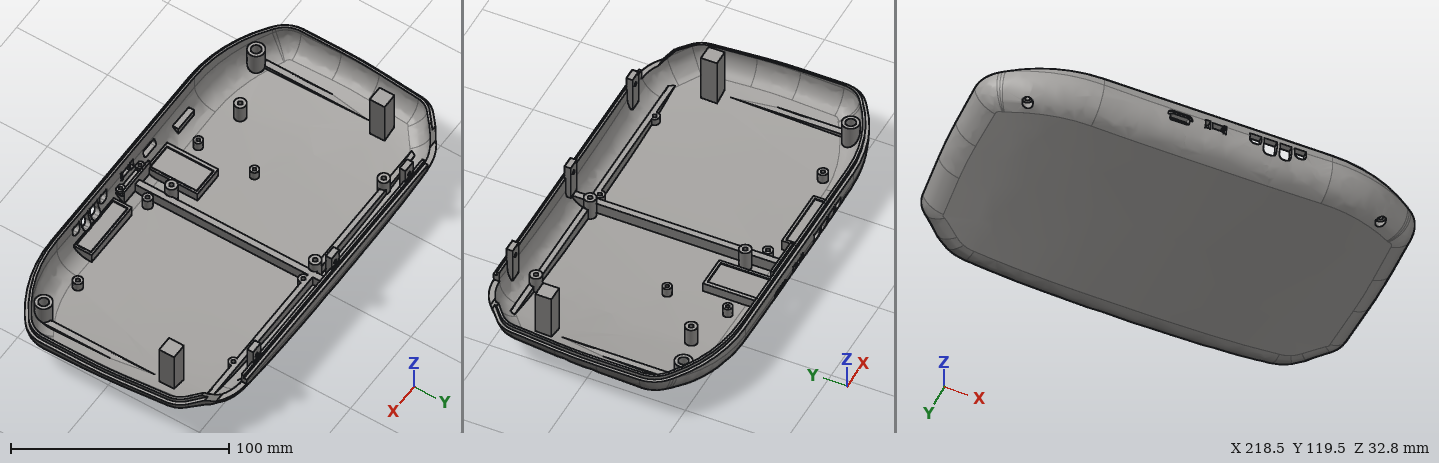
import cadquery as cq
import math

HALF_LENGTH = 109.265
HALF_WIDTH = 59.73
TOTAL_HEIGHT = 32.79
RIM_Z = 19.3
LIP_TOP_Z = 21.3
WALL = 3.0
FLOOR_THICKNESS = 2.4
LIP_INSET = 1.7
BOTTOM_ROUND = 14.0
MARGIN = 2.0

OUTLINE_CORNERS = [
    (84.7, HALF_WIDTH, 26.0),
    (105.8, 41.5, 14.0),
    (HALF_LENGTH, 2.0, 250.0),
    (HALF_LENGTH, -39.0, 16.0),
    (81.8, -HALF_WIDTH, 74.0),
]

FLOOR_DEGREE = 8
END_RISE_FRONT = 9.3
SHOULDER_RISE_FRONT = -1.4
END_RISE_BACK = 15.0
SHOULDER_RISE_BACK = 2.7

NOTCH_Z = 16.0
NOTCH_START_X = 75.0
NOTCH_FLOOR_Y = 53.5

FEATURE_BASE_Z = 1.0
RIB_TOP_Z = 8.4
BACK_RIB = (-96.0, 96.0, 44.3, 47.1)
DIVIDER = (-1.8, 1.55, -51.0, 57.0)
SIDE_RIB_X = (88.7, 92.1)
SIDE_RIB_Y = (-43.4, 25.0)

PILLAR_SIZE = 8.2
PILLAR_X = 87.3
PILLAR_Y = 26.4

TAB_X = (-63.2, -2.0, 63.2)
TAB_WIDTH = 6.3
TAB_Y = (54.1, 57.3)
TAB_Z = (10.0, 28.8)
TAB_HOLE_Z = 23.6
TAB_HOLE_DIAMETER = 2.05

TALL_POSTS = [(x, y) for x in (-61.2, -4.2) for y in (-34.3, 44.7)]
TALL_POST_DIAMETER = 6.0
TALL_POST_HOLE = 2.25
TALL_POST_TOP_Z = 13.5
BOARD_POSTS = [(x, y) for x in (4.6, 62.5) for y in (-41.6, 44.0)]
BOARD_POST_DIAMETER = 5.0
BOARD_POST_HOLE = 2.05
BOARD_POST_TOP_Z = RIB_TOP_Z
SMALL_POSTS = [(-36.5, -10.1), (-36.5, -41.0)]
SMALL_POST_DIAMETER = 4.5
SMALL_POST_HOLE = 1.75
SMALL_POST_TOP_Z = 7.7

SCREW_BOSS_X = 88.15
SCREW_BOSS_Y = -43.4
SCREW_BOSS_DIAMETER = 8.5
SCREW_BOSS_TOP_Z = 18.3
SCREW_HEAD_DIAMETER = 5.0
SCREW_HOLE_DIAMETER = 2.25
SCREW_WEB_Z = (8.0, 11.0)

TRAY_OUTER = (-27.5, -10.2, -52.2, -24.0)
TRAY_INNER = (-25.6, -11.6, -51.0, -25.4)
TRAY_TOP_Z = 7.4
BUTTON_BOX_OUTER = (13.3, 46.6, -54.5, -44.5)
BUTTON_BOX_INNER = (14.7, 45.2, -54.0, -45.9)
BUTTON_BOX_TOP_Z = 8.0
BOX_RECESS = 0.6

USB_SHELF = (-49.7, -36.5, -58.0, -51.9)
USB_SHELF_TOP_Z = 8.0

SWITCH_PLATE = (-11.0, 10.4, -58.0, -51.7)
SWITCH_PLATE_TOP_Z = 8.0
SWITCH_WALL = (-11.0, 10.4, -51.7, -50.5)
SWITCH_WALL_TOP_Z = 12.0
SWITCH_POSTS = [(-8.3, -54.4), (7.75, -54.4)]
SWITCH_POST_TOP_Z = 9.5

FRONT_CUT_Y = -54.0
PORT_CENTER = (-18.75, 9.8)
PORT_SIZE = (9.6, 3.6)
PORT_CORNER = 1.0
PORT_RECESS_SIZE = (12.2, 6.4)
PORT_RECESS_CORNER = 2.4
PORT_RECESS_DEPTH = 0.5
SWITCH_OPENINGS = [(-6.2, -3.7, 9.8, 14.4), (-2.6, 2.5, 10.5, 13.8), (3.0, 4.2, 9.8, 14.4)]
BUTTON_TOP_Z = 15.5
BUTTON_CORNER = 2.2
BUTTONS = [(15.9, 21.7, 10.0), (23.0, 29.5, 7.0), (31.0, 36.8, 7.0), (38.3, 44.0, 10.0)]


def corner_arc(before, corner, after):
    """Start, middle and end of the arc that rounds one corner of a polygon."""
    x, y, radius = corner
    back = math.atan2(before[1] - y, before[0] - x)
    ahead = math.atan2(after[1] - y, after[0] - x)
    half_angle = math.acos(math.cos(back - ahead)) / 2
    reach = radius / math.tan(half_angle)
    bisector_x = math.cos(back) + math.cos(ahead)
    bisector_y = math.sin(back) + math.sin(ahead)
    middle_reach = radius / math.sin(half_angle) - radius
    scale = middle_reach / math.hypot(bisector_x, bisector_y)
    start = (x + reach * math.cos(back), y + reach * math.sin(back))
    middle = (x + scale * bisector_x, y + scale * bisector_y)
    end = (x + reach * math.cos(ahead), y + reach * math.sin(ahead))
    return start, middle, end


def outline(inset):
    """Closed plan outline of the shell, moved inwards by `inset`."""
    mirrored = [(-x, y, radius) for x, y, radius in reversed(OUTLINE_CORNERS)]
    corners = OUTLINE_CORNERS + mirrored
    count = len(corners)
    arcs = [corner_arc(corners[i - 1], corners[i], corners[(i + 1) % count]) for i in range(count)]
    wire = cq.Workplane("XY").moveTo(*arcs[-1][2])
    for start, middle, end in arcs:
        wire = wire.lineTo(*start).threePointArc(middle, end)
    wire = wire.close()
    return wire.offset2D(-inset) if inset else wire


def floor_profile(y, end_rise, shoulder_rise):
    """XZ wire of the space above the floor at one Y station."""
    half = HALF_LENGTH + MARGIN
    top = TOTAL_HEIGHT + MARGIN
    flat_poles = [0.0] * (FLOOR_DEGREE - 3)
    rises = [end_rise, shoulder_rise] + flat_poles + [shoulder_rise, end_rise]
    poles = [(half * (2 * i / FLOOR_DEGREE - 1), rise) for i, rise in enumerate(rises)]
    profile = cq.Workplane("XZ", origin=(0, y, 0)).bezier(poles)
    return profile.lineTo(half, top).lineTo(-half, top).close().wires().val()


def tub(inset, floor_z, bottom_round, top_z):
    """Solid bounded by the inset outline, the swept floor and `top_z`, with a rounded bottom edge."""
    reach = HALF_WIDTH + MARGIN
    front = floor_profile(-reach, END_RISE_FRONT, SHOULDER_RISE_FRONT)
    back = floor_profile(reach, END_RISE_BACK, SHOULDER_RISE_BACK)
    above_floor = cq.Workplane(cq.Solid.makeLoft([front, back], True)).translate((0, 0, floor_z))
    column = outline(inset).extrude(top_z + MARGIN).translate((0, 0, -MARGIN))
    body = column.intersect(above_floor)
    return body.faces("<Z").edges().fillet(bottom_round)


def block(bounds, z0, z1):
    x0, x1, y0, y1 = bounds
    return cq.Workplane("XY").box(x1 - x0, y1 - y0, z1 - z0, centered=False).translate((x0, y0, z0))


def cylinders(points, diameter, z0, z1):
    return cq.Workplane("XY", origin=(0, 0, z0)).pushPoints(points).circle(diameter / 2).extrude(z1 - z0)


def front_opening(bounds, depth_y, corner=0.0, edges="|Y"):
    """Cutter through the front wall: (x0, x1, z0, z1), reaching back to `depth_y`."""
    x0, x1, z0, z1 = bounds
    start_y = -HALF_WIDTH - MARGIN
    cutter = block((x0, x1, start_y, depth_y), z0, z1)
    return cutter.edges(edges).fillet(corner) if corner else cutter


def centered_bounds(center, size):
    return (
        center[0] - size[0] / 2,
        center[0] + size[0] / 2,
        center[1] - size[1] / 2,
        center[1] + size[1] / 2,
    )


def lip():
    """Raised edge inside the rim; the cavity opens its middle."""
    return outline(LIP_INSET).extrude(LIP_TOP_Z - RIM_Z).translate((0, 0, RIM_Z))


def corner_notches():
    """Cutter that lowers the rim at the two back corners."""
    top = LIP_TOP_Z + MARGIN
    back = HALF_WIDTH + MARGIN
    notch = (
        cq.Workplane("YZ", origin=(NOTCH_START_X, 0, 0))
        .moveTo(NOTCH_FLOOR_Y, NOTCH_Z)
        .lineTo(back, NOTCH_Z)
        .lineTo(back, top)
        .lineTo(NOTCH_FLOOR_Y - (top - NOTCH_Z), top)
        .close()
        .extrude(HALF_LENGTH + MARGIN - NOTCH_START_X)
    )
    return notch.union(notch.mirror("YZ"))


def ribs():
    x0, x1 = SIDE_RIB_X
    y0, y1 = SIDE_RIB_Y
    body = block(BACK_RIB, FEATURE_BASE_Z, RIB_TOP_Z).union(block(DIVIDER, FEATURE_BASE_Z, RIB_TOP_Z))
    body = body.union(block((x0, x1, y0, y1), FEATURE_BASE_Z, RIB_TOP_Z))
    return body.union(block((-x1, -x0, y0, y1), FEATURE_BASE_Z, RIB_TOP_Z))


def pillars(base_z):
    points = [(-PILLAR_X, PILLAR_Y), (PILLAR_X, PILLAR_Y)]
    plane = cq.Workplane("XY", origin=(0, 0, base_z)).pushPoints(points)
    return plane.rect(PILLAR_SIZE, PILLAR_SIZE).extrude(TOTAL_HEIGHT - base_z)


def tabs():
    """Upright tabs on the back wall, each with a cross hole."""
    body = cq.Workplane("XY")
    for x in TAB_X:
        body = body.add(block((x - TAB_WIDTH / 2, x + TAB_WIDTH / 2, *TAB_Y), *TAB_Z))
    holes = (
        cq.Workplane("XZ", origin=(0, TAB_Y[1], 0))
        .pushPoints([(x, TAB_HOLE_Z) for x in TAB_X])
        .circle(TAB_HOLE_DIAMETER / 2)
        .extrude(TAB_Y[1] - TAB_Y[0])
    )
    return body.combine().cut(holes)


def boxes():
    """Open trays and the shelves behind the front wall."""
    tray = block(TRAY_OUTER, FEATURE_BASE_Z, TRAY_TOP_Z)
    tray = tray.cut(block(TRAY_INNER, TRAY_TOP_Z - BOX_RECESS, TRAY_TOP_Z))
    button_box = block(BUTTON_BOX_OUTER, FEATURE_BASE_Z, BUTTON_BOX_TOP_Z)
    button_box = button_box.cut(block(BUTTON_BOX_INNER, BUTTON_BOX_TOP_Z - BOX_RECESS, BUTTON_BOX_TOP_Z))
    body = tray.union(button_box)
    body = body.union(block(USB_SHELF, FEATURE_BASE_Z, USB_SHELF_TOP_Z))
    body = body.union(block(SWITCH_PLATE, FEATURE_BASE_Z, SWITCH_PLATE_TOP_Z))
    return body.union(block(SWITCH_WALL, FEATURE_BASE_Z, SWITCH_WALL_TOP_Z))


POST_GROUPS = [
    (TALL_POSTS, TALL_POST_DIAMETER, TALL_POST_HOLE, TALL_POST_TOP_Z),
    (BOARD_POSTS, BOARD_POST_DIAMETER, BOARD_POST_HOLE, BOARD_POST_TOP_Z),
    (SMALL_POSTS, SMALL_POST_DIAMETER, SMALL_POST_HOLE, SMALL_POST_TOP_Z),
    (SWITCH_POSTS, SMALL_POST_DIAMETER, SMALL_POST_HOLE, SWITCH_POST_TOP_Z),
]
SCREW_POINTS = [(-SCREW_BOSS_X, SCREW_BOSS_Y), (SCREW_BOSS_X, SCREW_BOSS_Y)]


def posts():
    body = cylinders(SCREW_POINTS, SCREW_BOSS_DIAMETER, FEATURE_BASE_Z, SCREW_BOSS_TOP_Z)
    for points, diameter, _, top in POST_GROUPS:
        body = body.union(cylinders(points, diameter, FEATURE_BASE_Z, top))
    return body


def post_holes():
    """Cutter for the post holes, which end at the shell floor, and the screw boss mouths."""
    body = cylinders(SCREW_POINTS, SCREW_HEAD_DIAMETER, SCREW_WEB_Z[1], SCREW_BOSS_TOP_Z)
    for points, _, hole, top in POST_GROUPS:
        body = body.union(cylinders(points, hole, FEATURE_BASE_Z, top))
    return body


def screw_holes():
    """Cutter for the corner screws: a head counterbore from below and a through hole."""
    heads = cylinders(SCREW_POINTS, SCREW_HEAD_DIAMETER, -MARGIN, SCREW_WEB_Z[0])
    return heads.union(cylinders(SCREW_POINTS, SCREW_HOLE_DIAMETER, -MARGIN, SCREW_BOSS_TOP_Z))


def front_openings():
    """Cutter for the recessed port, the slide switch and the four button windows."""
    port = centered_bounds(PORT_CENTER, PORT_SIZE)
    recess = centered_bounds(PORT_CENTER, PORT_RECESS_SIZE)
    cutter = front_opening(port, FRONT_CUT_Y, PORT_CORNER)
    cutter = cutter.union(front_opening(recess, PORT_RECESS_DEPTH - HALF_WIDTH, PORT_RECESS_CORNER))
    for bounds in SWITCH_OPENINGS:
        cutter = cutter.union(front_opening(bounds, FRONT_CUT_Y))
    for x0, x1, bottom in BUTTONS:
        bounds = (x0, x1, bottom, BUTTON_TOP_Z)
        cutter = cutter.union(front_opening(bounds, FRONT_CUT_Y, BUTTON_CORNER, "|Y and <Z"))
    return cutter


inside = ribs().union(pillars(FEATURE_BASE_Z)).union(boxes()).union(posts()).union(tabs())
cavity = tub(WALL, FLOOR_THICKNESS, BOTTOM_ROUND - WALL, TOTAL_HEIGHT)
cavity = cavity.cut(inside.cut(post_holes()))
outer = tub(0, 0, BOTTOM_ROUND, RIM_Z).union(lip()).union(pillars(RIM_Z)).union(tabs())
outer = outer.cut(corner_notches().union(screw_holes()).union(front_openings()))
result = outer.cut(cavity)